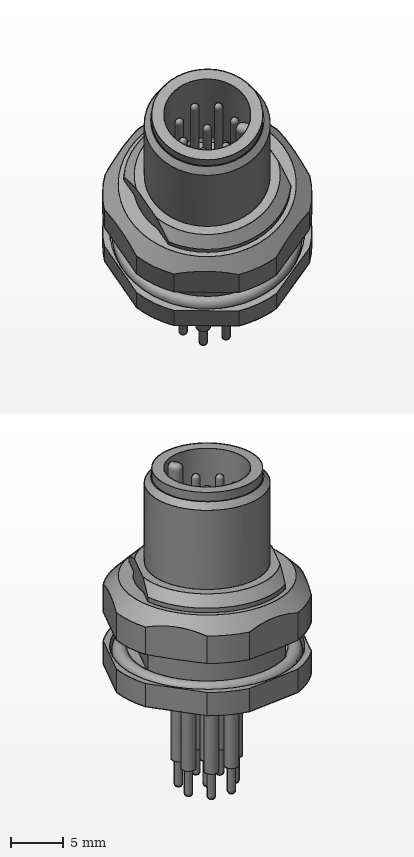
import cadquery as cq
import math

total_height = 34.0
pin_shoulder_z = 3.0
flange_bottom_z = 12.5
flange_top_z = 15.0
nut_bottom_z = 18.02
nut_top_z = 22.5
collar_edge_z = 23.0
collar_top_z = 24.0
rim_bottom_z = 33.05
contact_top_z = 32.05
key_top_z = 33.5

across_flats = 19.0
corner_radius = 10.0
nut_top_radius = 8.5
nut_underside_radius = 9.25
nut_underside_rise = 0.07
nut_bore_radius = 7.07

body_radius = 8.0
flat_to_flat = 13.4
plug_radius = 6.02
rim_radius = 5.3
rim_ledge = 0.1
plug_chamfer = plug_radius - rim_radius - rim_ledge
collar_chamfer = collar_top_z - collar_edge_z

socket_radius = 4.15
socket_floor_chamfer = 0.3
socket_floor_z = collar_top_z

seal_section_radius = 0.78
seal_radius = 8.33
seal_groove_radius = 9.3
seal_groove_floor_z = 13.8
seal_top_z = 15.3

contact_radius = 0.4
solder_sleeve_radius = 0.7
contact_circle_radius = 2.75
ring_contacts = 7
key_angle = 45.0
key_gap = 67.5
key_radius = 0.6
key_circle_radius = 3.5
key_rounding = 0.48


def revolve_profile(points):
    """Turn a closed (radius, height) outline about the Z axis."""
    return cq.Workplane("XZ").polyline(points).close().revolve(360, (0, 0, 0), (0, 1, 0))


def cylinder(radius, bottom_z, top_z, x=0.0, y=0.0):
    return cq.Workplane("XY", origin=(x, y, bottom_z)).circle(radius).extrude(top_z - bottom_z)


def hexagon(bottom_z, top_z):
    """Hexagonal prism with flats facing +Y and -Y."""
    across_corners = across_flats / math.cos(math.radians(30))
    return cq.Workplane("XY", origin=(0, 0, bottom_z)).polygon(6, across_corners).extrude(top_z - bottom_z)


def make_flange():
    """Rounded hexagon with a ring groove for the seal in its top face."""
    corners = cylinder(corner_radius, flange_bottom_z, flange_top_z)
    groove = cylinder(seal_groove_radius, seal_groove_floor_z, flange_top_z)
    groove = groove.cut(cylinder(body_radius, seal_groove_floor_z, flange_top_z))
    return hexagon(flange_bottom_z, flange_top_z).intersect(corners).cut(groove)


def make_nut():
    """Rounded hexagon, chamfered on top, whose bore shows beside the body flats."""
    chamfer = corner_radius - nut_top_radius
    envelope = revolve_profile([
        (0, nut_bottom_z),
        (nut_underside_radius, nut_bottom_z),
        (corner_radius, nut_bottom_z + nut_underside_rise),
        (corner_radius, nut_top_z - chamfer),
        (nut_top_radius, nut_top_z),
        (0, nut_top_z),
    ])
    bore = cylinder(nut_bore_radius, nut_bottom_z, nut_top_z)
    return hexagon(nut_bottom_z, nut_top_z).intersect(envelope).cut(bore)


def make_body():
    """Round body with a chamfered collar and two flats."""
    turned = revolve_profile([
        (0, flange_bottom_z),
        (body_radius, flange_bottom_z),
        (body_radius, collar_edge_z),
        (body_radius - collar_chamfer, collar_top_z),
        (0, collar_top_z),
    ])
    slab = cq.Workplane("XY", origin=(0, 0, flange_bottom_z)).rect(2 * body_radius, flat_to_flat)
    return turned.intersect(slab.extrude(collar_top_z - flange_bottom_z))


def make_plug():
    """Upper barrel with a chamfered shoulder below a narrower rim."""
    return revolve_profile([
        (0, flange_top_z),
        (plug_radius, flange_top_z),
        (plug_radius, rim_bottom_z - plug_chamfer),
        (rim_radius + rim_ledge, rim_bottom_z),
        (rim_radius, rim_bottom_z),
        (rim_radius, total_height),
        (0, total_height),
    ])


def make_socket():
    return revolve_profile([
        (0, socket_floor_z),
        (socket_radius - socket_floor_chamfer, socket_floor_z),
        (socket_radius, socket_floor_z + socket_floor_chamfer),
        (socket_radius, total_height),
        (0, total_height),
    ])


def make_seal():
    seal_z = seal_top_z - seal_section_radius
    section = cq.Workplane("XZ").center(seal_radius, seal_z).circle(seal_section_radius)
    return section.revolve(360, (-seal_radius, 0, 0), (-seal_radius, 1, 0))


def make_contact(x, y):
    """Domed contact pin through the part, with a thick sleeve below the flange."""
    lower_dome_z = contact_radius
    upper_dome_z = contact_top_z - contact_radius
    contact = cylinder(contact_radius, lower_dome_z, upper_dome_z, x, y)
    for dome_z in (lower_dome_z, upper_dome_z):
        contact = contact.union(cq.Workplane("XY", origin=(x, y, dome_z)).sphere(contact_radius))
    sleeve = cylinder(solder_sleeve_radius, pin_shoulder_z, flange_top_z, x, y)
    return contact.union(sleeve)


def on_circle(radius, angle):
    return radius * math.cos(math.radians(angle)), radius * math.sin(math.radians(angle))


def make_key():
    """Rounded key pin with a web as wide as the pin that runs out into the socket wall."""
    height = key_top_z - flange_top_z
    wall_middle_radius = (socket_radius + rim_radius) / 2
    web_length = wall_middle_radius - key_circle_radius
    pin = cylinder(key_radius, flange_top_z, key_top_z, key_circle_radius)
    web = cq.Workplane("XY", origin=(key_circle_radius + web_length / 2, 0, flange_top_z))
    web = web.rect(web_length, 2 * key_radius).extrude(height)
    key = pin.union(web).faces(">Z").edges().fillet(key_rounding)
    return key.rotate((0, 0, 0), (0, 0, 1), key_angle)


result = make_flange().union(make_body()).union(make_plug()).union(make_nut())
result = result.union(make_seal()).cut(make_socket())

result = result.union(make_key())

contact_step = (360 - key_gap) / (ring_contacts - 1)
first_contact_angle = key_angle + key_gap / 2
contact_places = [(0, 0)]
for index in range(ring_contacts):
    contact_angle = first_contact_angle + index * contact_step
    contact_places.append(on_circle(contact_circle_radius, contact_angle))

for contact_x, contact_y in contact_places:
    result = result.union(make_contact(contact_x, contact_y))